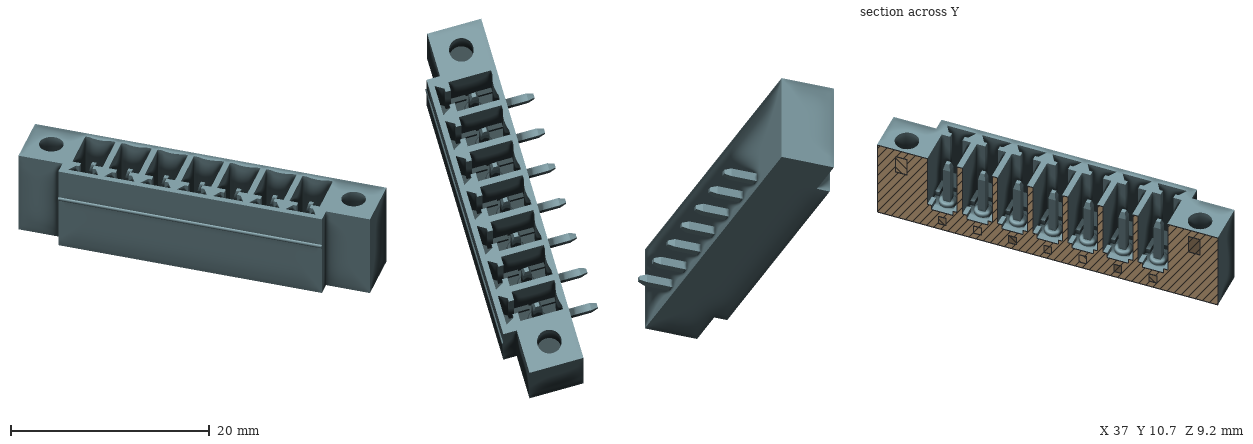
import cadquery as cq


length = 37.05
height = 9.2
flange_depth = 5.67
body_length = 27.8
body_depth = 7.08
bead_width = 0.4
bead_height = 0.15
bead_z = 5.78

pole_count = 7
pole_pitch = 3.8
pole_y = -flange_depth / 2

socket_width = 3.2
socket_rear_y = -0.55
socket_front_y = -5.05
socket_floor_z = 2.95
neck_width = 1.37
keyway_rear_y = -5.6
keyway_front_y = -6.5
keyway_rear_width = 2.08
keyway_front_width = socket_width

bulge_width = 2.25
bulge_height = 0.205

recess_width = bulge_width
recess_front_y = -4.5
channel_width = 0.9
recess_depth = 0.55
collar_diameter = 1.9
collar_height = 0.45
collar_fillet = 0.24

pin_width = 0.78
pin_thickness = 0.9
pin_tip_length = 0.7
pin_tip_width = 0.45
pin_top_z = 7.75
pin_rear_y = 3.5
pin_leg_z = 1.22

flange_hole_spacing = 31.87
flange_hole_diameter = 2.5
insert_top_depth = 0.95
insert_height = 2.0
insert_outer_diameter = 3.5

pole_xs = [(i - (pole_count - 1) / 2) * pole_pitch for i in range(pole_count)]
flange_hole_xs = [-flange_hole_spacing / 2, flange_hole_spacing / 2]
recess_floor_z = socket_floor_z - recess_depth


def block(width, rear_y, front_y, bottom_z, top_z):
    """Box centred on X = 0 between the given Y and Z limits."""
    return (
        cq.Workplane("XY", origin=(0, 0, bottom_z))
        .center(0, (rear_y + front_y) / 2)
        .rect(width, rear_y - front_y)
        .extrude(top_z - bottom_z)
    )


def make_shell():
    """Flanged block with a rounded bead along its front wall."""
    shell = block(length, 0, -flange_depth, 0, height)
    shell = shell.union(block(body_length, 0, -body_depth, 0, height))
    bead = (
        cq.Workplane("YZ", origin=(-body_length / 2, 0, 0))
        .moveTo(-body_depth, bead_z - bead_width / 2)
        .threePointArc((-body_depth - bead_height, bead_z), (-body_depth, bead_z + bead_width / 2))
        .close()
        .extrude(body_length)
    )
    return shell.union(bead)


def make_bulge():
    """Shallow arc-faced pad on the rear wall of a socket."""
    return (
        cq.Workplane("XY", origin=(0, 0, recess_floor_z))
        .moveTo(-bulge_width / 2, socket_rear_y)
        .threePointArc((0, socket_rear_y - bulge_height), (bulge_width / 2, socket_rear_y))
        .close()
        .extrude(height - recess_floor_z)
    )


def make_collar():
    """Round boss with a filleted rim, standing on the recess floor."""
    return (
        cq.Workplane("XY", origin=(0, pole_y, recess_floor_z))
        .circle(collar_diameter / 2)
        .extrude(collar_height)
        .faces(">Z")
        .fillet(collar_fillet)
    )


def make_socket():
    """Space to remove for one pole: socket, dovetail keyway and floor recess, less bulge and collar."""
    socket = block(socket_width, socket_rear_y, socket_front_y, socket_floor_z, height)
    neck = block(neck_width, socket_front_y, keyway_rear_y, socket_floor_z, height)
    keyway = (
        cq.Workplane("XY", origin=(0, 0, socket_floor_z))
        .polyline(
            [
                (-keyway_rear_width / 2, keyway_rear_y),
                (keyway_rear_width / 2, keyway_rear_y),
                (keyway_front_width / 2, keyway_front_y),
                (-keyway_front_width / 2, keyway_front_y),
            ]
        )
        .close()
        .extrude(height - socket_floor_z)
    )
    recess = block(recess_width, socket_rear_y, recess_front_y, recess_floor_z, socket_floor_z)
    channel = block(
        socket_width,
        pole_y + channel_width / 2,
        pole_y - channel_width / 2,
        recess_floor_z,
        socket_floor_z,
    )
    space = socket.union(neck).union(keyway).union(recess).union(channel)
    return space.cut(make_bulge()).cut(make_collar())


def make_pin_tip(plane):
    """Tapered end of a pin, growing along the normal of the given plane."""
    return (
        cq.Workplane(plane)
        .rect(pin_width, pin_thickness)
        .workplane(offset=pin_tip_length)
        .rect(pin_tip_width, pin_tip_width)
        .loft()
    )


def make_pin():
    """L-shaped pin: an upright contact in the socket and a solder leg leaving the rear wall."""
    half = pin_thickness / 2
    upright = block(pin_width, pole_y + half, pole_y - half, pin_leg_z - half, pin_top_z - pin_tip_length)
    leg = block(pin_width, pin_rear_y - pin_tip_length, pole_y - half, pin_leg_z - half, pin_leg_z + half)
    top_plane = cq.Plane((0, pole_y, pin_top_z - pin_tip_length), xDir=(1, 0, 0), normal=(0, 0, 1))
    rear_plane = cq.Plane((0, pin_rear_y - pin_tip_length, pin_leg_z), xDir=(1, 0, 0), normal=(0, 1, 0))
    return upright.union(leg).union(make_pin_tip(top_plane)).union(make_pin_tip(rear_plane))


def make_insert():
    """Sleeve whose bore continues the flange hole."""
    return (
        cq.Workplane("XY", origin=(0, pole_y, height - insert_top_depth))
        .circle(insert_outer_diameter / 2)
        .circle(flange_hole_diameter / 2)
        .extrude(-insert_height)
    )


def make_flange_hole():
    """Blind hole from the top face down to the bottom of the insert."""
    return (
        cq.Workplane("XY", origin=(0, pole_y, height))
        .circle(flange_hole_diameter / 2)
        .extrude(-insert_top_depth - insert_height)
    )


pins = [make_pin().translate((x, 0, 0)) for x in pole_xs]
inserts = [make_insert().translate((x, 0, 0)) for x in flange_hole_xs]

housing = make_shell()
for x in pole_xs:
    housing = housing.cut(make_socket().translate((x, 0, 0)))
for x in flange_hole_xs:
    housing = housing.cut(make_flange_hole().translate((x, 0, 0)))
for body in pins + inserts:
    housing = housing.cut(body)

result = cq.Compound.makeCompound([body.val() for body in [housing] + pins + inserts])